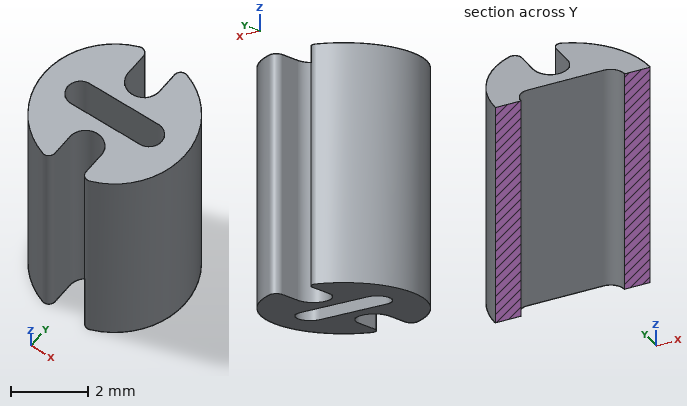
import cadquery as cq

height = 6.5
diameter = 4.5

groove_width = 1.0
web_between_grooves = 1.55
lip_radius = 0.195

slot_length = 3.0
slot_width = 0.8


def groove_cutter(side):
    """Groove open towards +Y (side = 1) or -Y (side = -1)."""
    radius = groove_width / 2
    round_center = web_between_grooves / 2 + radius
    outer_end = diameter / 2 + radius
    return (
        cq.Workplane("XY")
        .moveTo(-radius, side * outer_end)
        .lineTo(-radius, side * round_center)
        .threePointArc((0, side * web_between_grooves / 2), (radius, side * round_center))
        .lineTo(radius, side * outer_end)
        .close()
        .extrude(height)
    )


body = cq.Workplane("XY").circle(diameter / 2).extrude(height)
for side in (1, -1):
    body = body.cut(groove_cutter(side))

for side in (1, -1):
    lip_box = cq.selectors.BoxSelector(
        (-groove_width, side * web_between_grooves, 0),
        (groove_width, side * diameter, height),
    )
    body = body.edges("|Z").edges(lip_box).fillet(lip_radius)

slot = cq.Workplane("XY").slot2D(slot_length, slot_width).extrude(height)
result = body.cut(slot)